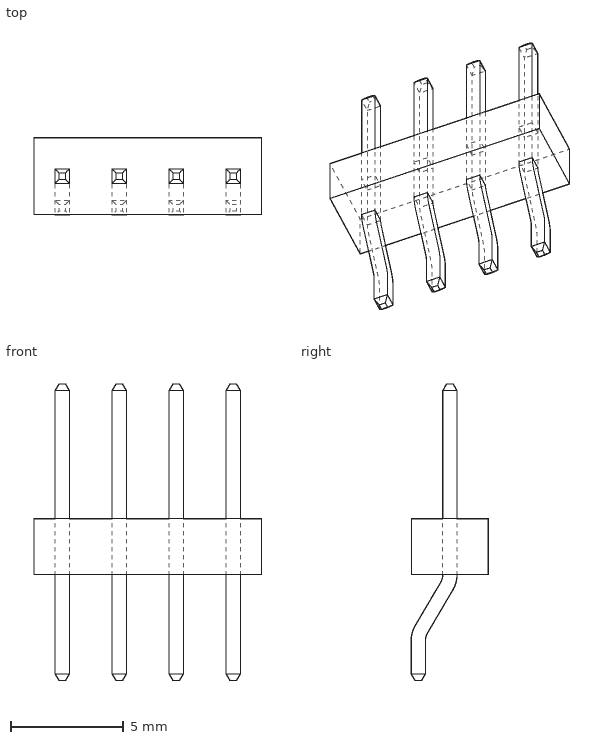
import cadquery as cq
import math

total_height = 13.24
total_depth = 3.45

housing_length = 10.15
housing_depth = 3.44
housing_height = 2.5

pin_count = 4
pin_pitch = 2.54
pin_width = 0.65
pin_rise = 6.01

tip_length = 0.3
tip_width = 0.29

bend_radius = 1.0
bend_angle = math.radians(30.5)

pin_top = housing_height + pin_rise
pin_bottom = pin_top - total_height
foot_offset = total_depth - housing_depth / 2 - pin_width / 2
arc_drop = bend_radius * math.sin(bend_angle)
arc_offset = bend_radius * (1 - math.cos(bend_angle))
leg_offset = foot_offset - 2 * arc_offset
leg_drop = leg_offset / math.tan(bend_angle)
bend_drop = 2 * arc_drop + leg_drop


def pin_x(index):
    """X position of a pin in the centred row."""
    return (index - (pin_count - 1) / 2) * pin_pitch


def pin_tip(y, z, direction):
    """Truncated pyramid standing on a pin end at (y, z), pointing up (+1) or down (-1)."""
    return (
        cq.Workplane("XY", origin=(0, y, z))
        .rect(pin_width, pin_width)
        .workplane(offset=direction * tip_length)
        .rect(tip_width, tip_width)
        .loft()
    )


def make_pin(x):
    """One pin: upright shaft, S-bend toward -Y, vertical foot and a tapered tip at each end."""
    shaft_top = pin_top - tip_length
    foot_bottom = pin_bottom + tip_length
    centreline = (
        cq.Workplane("YZ")
        .moveTo(0, shaft_top)
        .lineTo(0, 0)
        .tangentArcPoint((-arc_offset, -arc_drop), relative=False)
        .lineTo(-arc_offset - leg_offset, -arc_drop - leg_drop)
        .tangentArcPoint((-foot_offset, -bend_drop), relative=False)
        .lineTo(-foot_offset, foot_bottom)
    )
    bar = cq.Workplane("XY", origin=(0, 0, shaft_top)).rect(pin_width, pin_width).sweep(centreline)
    upper_tip = pin_tip(0, shaft_top, 1)
    lower_tip = pin_tip(-foot_offset, foot_bottom, -1)
    return bar.union(upper_tip).union(lower_tip).translate((x, 0, 0))


def make_housing():
    """Block with a square through hole for each pin."""
    block = cq.Workplane("XY").rect(housing_length, housing_depth).extrude(housing_height)
    pin_holes = (
        cq.Workplane("XY")
        .pushPoints([(pin_x(index), 0) for index in range(pin_count)])
        .rect(pin_width, pin_width)
        .extrude(housing_height)
    )
    return block.cut(pin_holes)


housing = make_housing()
pins = [make_pin(pin_x(index)) for index in range(pin_count)]

result = cq.Compound.makeCompound([housing.solids().val(), *[pin.solids().val() for pin in pins]])